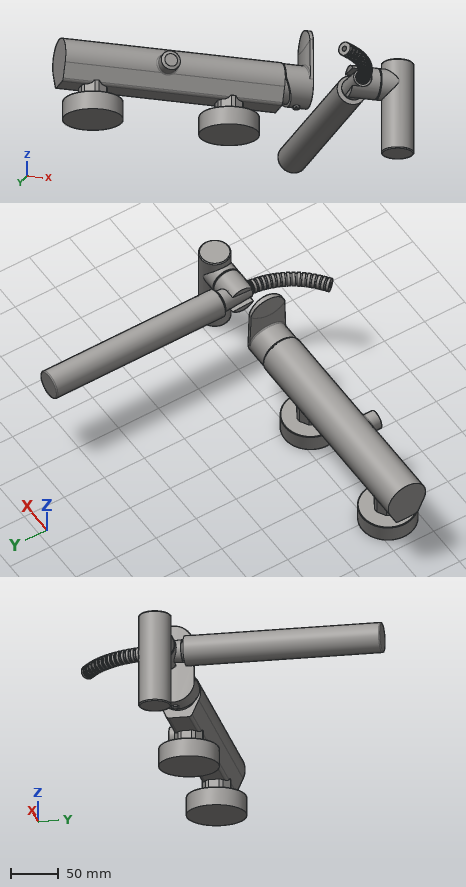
import cadquery as cq
import math


barrel_length = 241.5
barrel_radius = 23.5
barrel_flat_z = -27.5
flank_angle = 24.6
barrel_corner_radius = 4.0

base_z = -62.5
connector_x = 37.0
connector_spacing = 150.0
rosette_radius = 32.0
rosette_height = 20.2
rosette_chamfer = 0.8
nut_across_flats = 28.5
nut_corner_chamfer = 2.53

outlet_x = 112.0
outlet_radius = 10.5
outlet_reach = 35.5
outlet_end_chamfer_width = 3.5
outlet_end_chamfer_length = 1.0
outlet_flare = 1.5

neck_radius = 20.0
neck_length = 15.5
lever_start_x = 243.0
lever_end_x = 273.0
lever_radius = 22.5
lever_undercut = 9.7
screw_x = 260.8
screw_radius = 4.0
screw_chamfer = 1.0
screw_reach = 25.3
blade_rim_x = 269.5
blade_inner_bulge = 3.0
blade_outer_bulge = 1.0
blade_tip_half_width = 21.0
blade_shoulder_z = 46.7
blade_top_z = 62.5
blade_taper_z = 39.5
blade_tip_slope = 0.083
blade_tip_curve_radius = 101.2
blade_fillet = 1.0

post_x = 372.0
post_radius = 17.0
post_top_z = 38.0
post_chamfer = 1.0
arm_z = 13.0
arm_radius = 16.7
swivel_start_x = 318.5
swivel_end_x = 348.8
groove_width = 1.0
groove_depth = 0.8

shower_x = 329.5
shower_radius = 16.0
shower_start_y = 24.5
shower_end_y = 235.0
shower_rim_fillet = 1.0
shower_neck_radius = 10.0
cone_big_radius = 12.0
cone_big_y = 21.5
cone_small_radius = 9.7
cone_small_y = -13.5

hose_start_y = -9.5
hose_core_radius = 6.2
hose_ring_radius = 7.5
hose_bend_radius = 94.0
hose_bend_angle = 52.0
hose_tail = 9.5
ring_pitch = 5.5
ring_width = 3.5
hose_bore_radius = 2.7


def x_cylinder(radius, x_start, x_end, z=0.0):
    return cq.Workplane("YZ", origin=(x_start, 0, z)).circle(radius).extrude(x_end - x_start)


def z_cylinder(radius, x, z_start, z_end):
    return cq.Workplane("XY", origin=(x, 0, z_start)).circle(radius).extrude(z_end - z_start)


def barrel():
    angle = math.radians(flank_angle)
    tangent_y = barrel_radius * math.cos(angle)
    tangent_z = -barrel_radius * math.sin(angle)
    flat_half = tangent_y - (tangent_z - barrel_flat_z) * math.tan(angle)
    section = (
        cq.Workplane("YZ")
        .moveTo(-tangent_y, tangent_z)
        .threePointArc((0, barrel_radius), (tangent_y, tangent_z))
        .lineTo(flat_half, barrel_flat_z)
        .lineTo(-flat_half, barrel_flat_z)
        .close()
    )
    return section.extrude(barrel_length).faces("<Z").edges("|X").fillet(barrel_corner_radius)


def connector(x):
    rosette_top_z = base_z + rosette_height
    rosette = z_cylinder(rosette_radius, x, base_z, rosette_top_z).faces(">Z").chamfer(rosette_chamfer)
    hexagon = (
        cq.Workplane("XY", origin=(x, 0, rosette_top_z))
        .polygon(6, nut_across_flats, circumscribed=True)
        .extrude(barrel_flat_z + barrel_corner_radius - rosette_top_z)
        .edges("|Z")
        .chamfer(nut_corner_chamfer)
    )
    return rosette.union(hexagon)


def outlet():
    return (
        cq.Workplane("XZ", origin=(outlet_x, 0, 0))
        .circle(outlet_radius)
        .extrude(outlet_reach)
        .faces("<Y")
        .chamfer(outlet_end_chamfer_length, outlet_end_chamfer_width)
    )


def blade():
    rim_half = lever_radius
    lens = (
        cq.Workplane("XY", origin=(0, 0, -lever_radius))
        .moveTo(blade_rim_x, -rim_half)
        .threePointArc((blade_rim_x - blade_inner_bulge, 0), (blade_rim_x, rim_half))
        .lineTo(lever_end_x, rim_half)
        .threePointArc((lever_end_x + blade_outer_bulge, 0), (lever_end_x, -rim_half))
        .close()
        .extrude(blade_top_z + lever_radius)
    )
    outline = (
        cq.Workplane("YZ", origin=(lever_start_x, 0, 0))
        .moveTo(-lever_radius, 0)
        .lineTo(-blade_tip_half_width, blade_shoulder_z)
        .threePointArc((0, blade_top_z), (blade_tip_half_width, blade_shoulder_z))
        .lineTo(lever_radius, 0)
        .threePointArc((0, -lever_radius), (-lever_radius, 0))
        .close()
        .extrude(2 * (lever_end_x - lever_start_x))
    )
    tip_plane = cq.Plane(
        origin=(blade_rim_x - blade_inner_bulge, 0, blade_taper_z),
        xDir=(0, 1, 0),
        normal=(blade_tip_slope, 0, 1),
    )
    sag = blade_tip_curve_radius - math.sqrt(blade_tip_curve_radius**2 - lever_radius**2)
    tip_cut = (
        cq.Workplane(tip_plane)
        .moveTo(-lever_radius, -sag)
        .threePointArc((0, 0), (lever_radius, -sag))
        .lineTo(lever_radius, blade_inner_bulge)
        .lineTo(-lever_radius, blade_inner_bulge)
        .close()
        .extrude(blade_top_z)
    )
    return lens.intersect(outline).cut(tip_cut)


def lever():
    hub = x_cylinder(lever_radius, lever_start_x, lever_end_x)
    undercut = (
        cq.Workplane("XZ")
        .polyline([
            (lever_start_x, 0),
            (lever_start_x, -lever_radius),
            (lever_start_x + lever_undercut, -lever_radius),
        ])
        .close()
        .extrude(lever_radius, both=True)
    )
    neck = x_cylinder(neck_radius, barrel_length, barrel_length + neck_length)
    screw = z_cylinder(screw_radius, screw_x, -screw_reach, 0).faces("<Z").chamfer(screw_chamfer)
    blade_joint = cq.selectors.BoxSelector(
        (blade_rim_x - blade_inner_bulge, -lever_radius, lever_radius / 2),
        (blade_rim_x, lever_radius, lever_radius),
    )
    handle = hub.cut(undercut).union(blade())
    handle = handle.edges(blade_joint).fillet(blade_fillet)
    return handle.union(neck).union(screw)


def make_mixer():
    outlet_joint = cq.selectors.BoxSelector(
        (outlet_x - 2 * outlet_radius, -barrel_radius, -outlet_radius),
        (outlet_x + 2 * outlet_radius, -barrel_radius / 2, outlet_radius),
    )
    body = barrel().union(outlet()).edges(outlet_joint).fillet(outlet_flare).union(lever())
    for index in range(2):
        body = body.union(connector(connector_x + index * connector_spacing))
    return body


def y_revolved(points):
    """Solid turned about the hand shower axis; points are (radius, y), starting and ending on the axis."""
    return (
        cq.Workplane("XY", origin=(shower_x, 0, arm_z))
        .polyline(points)
        .close()
        .revolve(360, (0, 0, 0), (0, 1, 0))
    )


def seat_cone():
    return y_revolved([
        (0, cone_small_y),
        (cone_small_radius, cone_small_y),
        (cone_big_radius, cone_big_y),
        (0, cone_big_y),
    ])


def cone_radius(y):
    slope = (cone_big_radius - cone_small_radius) / (cone_big_y - cone_small_y)
    return cone_small_radius + slope * (y - cone_small_y)


def make_holder():
    post = z_cylinder(post_radius, post_x, base_z, post_top_z).faces("<Z or >Z").chamfer(post_chamfer)
    swivel = x_cylinder(arm_radius, swivel_start_x, swivel_end_x, arm_z)
    groove_core = x_cylinder(
        arm_radius - groove_depth, swivel_end_x, swivel_end_x + groove_width, arm_z
    )
    arm = x_cylinder(arm_radius, swivel_end_x + groove_width, post_x, arm_z)

    front_y = -arm_radius
    seat = y_revolved([
        (0, front_y),
        (cone_radius(front_y), front_y),
        (cone_big_radius, cone_big_y),
        (0, cone_big_y),
    ])
    slot = (
        cq.Workplane("YZ", origin=(shower_x, 0, arm_z))
        .polyline([
            (front_y, -cone_radius(front_y)),
            (front_y, cone_radius(front_y)),
            (cone_big_y, cone_big_radius),
            (cone_big_y, -cone_big_radius),
        ])
        .close()
        .extrude(swivel_start_x - shower_x)
    )
    return post.union(arm).union(groove_core).union(swivel).cut(seat).cut(slot)


def hose_position(distance):
    """Point on the hose centre line and its unit direction, at a distance along it."""
    bend = math.radians(hose_bend_angle)
    turn = min(distance / hose_bend_radius, bend)
    straight = max(distance - hose_bend_radius * bend, 0)
    direction = cq.Vector(-math.sin(turn), -math.cos(turn), 0)
    bend_point = cq.Vector(
        shower_x - hose_bend_radius * (1 - math.cos(turn)),
        hose_start_y - hose_bend_radius * math.sin(turn),
        arm_z,
    )
    return bend_point + direction * straight, direction


def hose():
    bend_length = hose_bend_radius * math.radians(hose_bend_angle)
    length = bend_length + hose_tail
    start = hose_position(0)[0]
    bend_middle = hose_position(bend_length / 2)[0]
    bend_end = hose_position(bend_length)[0]
    end, end_direction = hose_position(length)
    path = (
        cq.Workplane("XY")
        .moveTo(start.x, start.y)
        .threePointArc((bend_middle.x, bend_middle.y), (bend_end.x, bend_end.y))
        .lineTo(end.x, end.y)
        .translate((0, 0, arm_z))
    )
    tube = cq.Workplane("XZ", origin=start.toTuple()).circle(hose_core_radius).sweep(path)
    rings = []
    for index in range(int(length / ring_pitch)):
        place, direction = hose_position(length - ring_width - index * ring_pitch)
        rings.append(cq.Solid.makeCylinder(hose_ring_radius, ring_width, place, direction))
    tube = cq.Workplane(tube.val().fuse(*rings))
    bore = cq.Solid.makeCylinder(hose_bore_radius, hose_tail, end, end_direction * -1)
    return tube.cut(cq.Workplane(bore))


def make_hand_shower():
    handle = (
        y_revolved([
            (0, shower_start_y),
            (shower_radius, shower_start_y),
            (shower_radius, shower_end_y),
            (0, shower_end_y),
        ])
        .faces(">Y")
        .edges()
        .fillet(shower_rim_fillet)
    )
    neck = y_revolved([
        (0, cone_big_y),
        (shower_neck_radius, cone_big_y),
        (shower_neck_radius, shower_start_y),
        (0, shower_start_y),
    ])
    return handle.union(neck).union(seat_cone()).union(hose())


mixer = make_mixer()
holder = make_holder()
hand_shower = make_hand_shower()
result = cq.Compound.makeCompound([mixer.val(), holder.val(), hand_shower.val()])